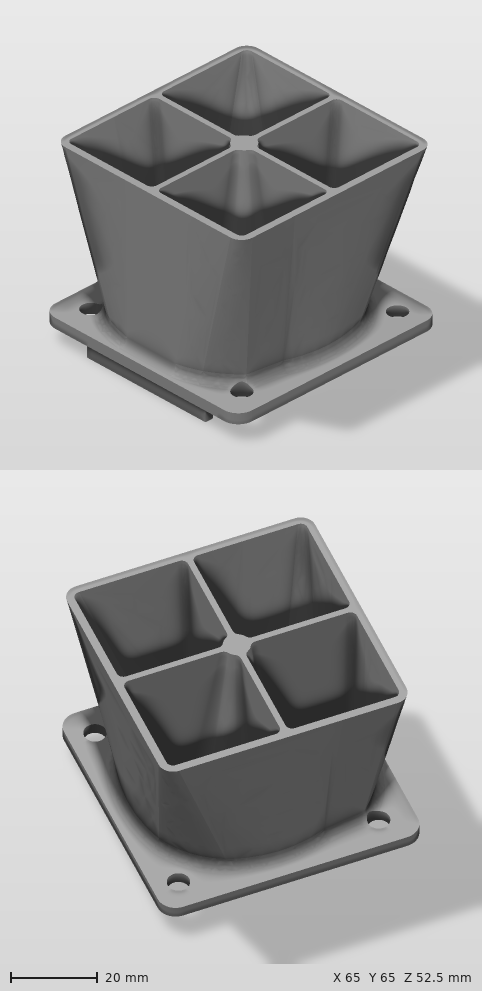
import cadquery as cq
import math

FLANGE_SIDE = 65.0
FLANGE_THICKNESS = 3.0
FLANGE_CORNER_RADIUS = 4.5
SCREW_HOLE_DIAMETER = 5.4
SCREW_HOLE_SPACING = 50.0

AXIS_Y = 1.05
MOUTH_Z = 48.5
WALL = 1.95
FOOT_RADIUS = 26.65
LOBE_RADIUS = 31.1
FOOT_FRONT = 30.1
MOUTH_SIDE = 61.9
MOUTH_CORNER_RADIUS = 3.6
BASE_FILLET_RADIUS = 2.3

PANEL_LEFT_X = -7.55
PANEL_RIGHT_MOUTH_X = 13.4

SIDE_START_ANGLE = 25.0
SIDE_END_ANGLE = 43.5
FRONT_CORNER_SPAN_ANGLE = 20.0
BACK_CORNER_SPAN_ANGLE = 40.0
BACK_CORNER_ANGLE = 45.0

SIDE_SPLIT_SHARE = 0.5

BAR_THICKNESS = 1.5
HUB_MOUTH_RADIUS = 3.25
HUB_FOOT_RADIUS = 10.0
HUB_MOUTH_BLEND_RADIUS = 1.6
HUB_FOOT_BLEND_RADIUS = 4.55
CHANNEL_FILLET_RADIUS = 1.6

TOLERANCE = 0.0005

STRIP_LEFT_X = -18.5
STRIP_LENGTH = 39.2
STRIP_FRONT_Y = -31.45
STRIP_BACK_Y = -28.3
STRIP_TIP_BACK_Y = -29.05
STRIP_STEP_DEPTH = 2.35
STRIP_DEPTH = 4.0


def polar(radius, angle):
    """Point in the XY plane at an angle in degrees from +X."""
    return (radius * math.cos(math.radians(angle)), radius * math.sin(math.radians(angle)))


def line_edge(start, end, z):
    return cq.Edge.makeLine(cq.Vector(*start, z), cq.Vector(*end, z))


def arc_edge(radius, start_angle, end_angle, z, centre=(0.0, 0.0)):
    """Arc about a centre, from one angle to the other, in degrees."""
    points = []
    for angle in (start_angle, (start_angle + end_angle) / 2, end_angle):
        x, y = polar(radius, angle)
        points.append(cq.Vector(centre[0] + x, centre[1] + y, z))
    return cq.Edge.makeThreePointArc(*points)


def foot_wire(inset):
    """Foot outline: round at the back, wider lobes and a flat at the front."""
    round_radius = FOOT_RADIUS - inset
    lobe_radius = LOBE_RADIUS - inset
    front = FOOT_FRONT - inset
    flat_angle = math.degrees(math.asin(front / lobe_radius))
    split_angle = SIDE_END_ANGLE + FRONT_CORNER_SPAN_ANGLE
    back_start = BACK_CORNER_ANGLE - BACK_CORNER_SPAN_ANGLE / 2
    back_end = BACK_CORNER_ANGLE + BACK_CORNER_SPAN_ANGLE / 2
    edges = [
        line_edge(polar(lobe_radius, flat_angle - 180), polar(lobe_radius, -flat_angle), 0),
        arc_edge(lobe_radius, -flat_angle, -split_angle, 0),
        arc_edge(lobe_radius, -split_angle, -SIDE_END_ANGLE, 0),
        line_edge(polar(lobe_radius, -SIDE_END_ANGLE), polar(round_radius, -SIDE_START_ANGLE), 0),
        arc_edge(round_radius, -SIDE_START_ANGLE, back_start, 0),
        arc_edge(round_radius, back_start, back_end, 0),
        arc_edge(round_radius, back_end, 180 - back_end, 0),
        arc_edge(round_radius, 180 - back_end, 180 - back_start, 0),
        arc_edge(round_radius, 180 - back_start, 180 + SIDE_START_ANGLE, 0),
        line_edge(
            polar(round_radius, 180 + SIDE_START_ANGLE), polar(lobe_radius, 180 + SIDE_END_ANGLE), 0
        ),
        arc_edge(lobe_radius, 180 + SIDE_END_ANGLE, 180 + split_angle, 0),
        arc_edge(lobe_radius, 180 + split_angle, 180 + flat_angle, 0),
    ]
    return cq.Wire.assembleEdges(edges)


def mouth_wire(inset):
    """Mouth outline: a rounded square with as many edges as the foot outline."""
    half = MOUTH_SIDE / 2 - inset
    radius = MOUTH_CORNER_RADIUS - inset
    straight = half - radius
    side_split_y = -straight * SIDE_SPLIT_SHARE
    z = MOUTH_Z
    edges = [
        line_edge((PANEL_LEFT_X, -half), (PANEL_RIGHT_MOUTH_X, -half), z),
        line_edge((PANEL_RIGHT_MOUTH_X, -half), (straight, -half), z),
        arc_edge(radius, -90, 0, z, (straight, -straight)),
        line_edge((half, -straight), (half, side_split_y), z),
        line_edge((half, side_split_y), (half, straight), z),
        arc_edge(radius, 0, 90, z, (straight, straight)),
        line_edge((straight, half), (-straight, half), z),
        arc_edge(radius, 90, 180, z, (-straight, straight)),
        line_edge((-half, straight), (-half, side_split_y), z),
        line_edge((-half, side_split_y), (-half, -straight), z),
        arc_edge(radius, 180, 270, z, (-straight, -straight)),
        line_edge((-straight, -half), (PANEL_LEFT_X, -half), z),
    ]
    return cq.Wire.assembleEdges(edges)


def duct_envelope(inset):
    """Solid between the foot and mouth outlines, moved in from the outer surface by inset."""
    loft = cq.Solid.makeLoft([foot_wire(inset), mouth_wire(inset)], True)
    return cq.Workplane(obj=loft.translate(cq.Vector(0, AXIS_Y, 0)))


def flange():
    return (
        cq.Workplane("XY")
        .rect(FLANGE_SIDE, FLANGE_SIDE)
        .extrude(FLANGE_THICKNESS)
        .edges("|Z")
        .fillet(FLANGE_CORNER_RADIUS)
    )


def screw_holes():
    return (
        cq.Workplane("XY")
        .center(0, AXIS_Y)
        .rect(SCREW_HOLE_SPACING, SCREW_HOLE_SPACING, forConstruction=True)
        .vertices()
        .circle(SCREW_HOLE_DIAMETER / 2)
        .extrude(FLANGE_THICKNESS + BASE_FILLET_RADIUS)
    )


def hub_wire(hub_radius, blend_radius, z):
    """Hub outline: a circle that flares into the four bars through concave arcs."""
    half_bar = BAR_THICKNESS / 2
    centre_side = half_bar + blend_radius
    centre_reach = math.sqrt((hub_radius + blend_radius) ** 2 - centre_side**2)
    contact_angle = math.degrees(math.atan2(centre_side, centre_reach))
    edges = []
    for quarter in range(4):
        turn = 90.0 * quarter
        direction = math.radians(turn)
        side_x, side_y = -math.sin(direction), math.cos(direction)
        along_x, along_y = math.cos(direction), math.sin(direction)
        tip_x, tip_y = centre_reach * along_x, centre_reach * along_y
        right_end = (tip_x - half_bar * side_x, tip_y - half_bar * side_y)
        left_end = (tip_x + half_bar * side_x, tip_y + half_bar * side_y)
        right_centre = (tip_x - centre_side * side_x, tip_y - centre_side * side_y)
        left_centre = (tip_x + centre_side * side_x, tip_y + centre_side * side_y)
        edges += [
            arc_edge(blend_radius, turn + 180 - contact_angle, turn + 90, z, right_centre),
            line_edge(right_end, left_end, z),
            arc_edge(blend_radius, turn + 270, turn + 180 + contact_angle, z, left_centre),
            arc_edge(hub_radius, turn + contact_angle, turn + 90 - contact_angle, z),
        ]
    return cq.Wire.assembleEdges(edges)


def build_hub():
    """Tapering hub with its flares, cut away from every air channel."""
    foot = hub_wire(HUB_FOOT_RADIUS, HUB_FOOT_BLEND_RADIUS, 0)
    mouth = hub_wire(HUB_MOUTH_RADIUS, HUB_MOUTH_BLEND_RADIUS, MOUTH_Z)
    loft = cq.Solid.makeLoft([foot, mouth], True)
    return cq.Workplane(obj=loft.translate(cq.Vector(0, AXIS_Y, 0)))


def meets_outer_wall(edge):
    """True for an edge that rises where a divider bar meets the outer wall."""
    start, end = edge.startPoint(), edge.endPoint()
    rises = abs(start.z - end.z) > MOUTH_Z / 2
    half = BAR_THICKNESS / 2
    on_x_bar = all(abs(abs(p.y - AXIS_Y) - half) < TOLERANCE for p in (start, end))
    on_y_bar = all(abs(abs(p.x) - half) < TOLERANCE for p in (start, end))
    return rises and on_x_bar != on_y_bar


def air_channel(cavity, hub, side_x, side_y):
    """One of the four passages between the bars, with its bar corners rounded."""
    offset = BAR_THICKNESS / 2 + FLANGE_SIDE / 2
    quadrant = (
        cq.Workplane("XY")
        .box(FLANGE_SIDE, FLANGE_SIDE, MOUTH_Z, centered=(True, True, False))
        .translate((side_x * offset, AXIS_Y + side_y * offset, 0))
    )
    channel = cavity.intersect(quadrant)
    corners = [edge for edge in channel.edges().vals() if meets_outer_wall(edge)]
    return channel.newObject(corners).fillet(CHANNEL_FILLET_RADIUS).cut(hub)


def build_duct():
    body = flange().union(duct_envelope(0))
    foot_edges = [
        edge
        for edge in body.edges().vals()
        if edge.geomType() == "BSPLINE"
        and abs(edge.startPoint().z - FLANGE_THICKNESS) < TOLERANCE
        and abs(edge.endPoint().z - FLANGE_THICKNESS) < TOLERANCE
    ]
    body = body.newObject(foot_edges).fillet(BASE_FILLET_RADIUS)
    cavity = duct_envelope(WALL)
    hub = build_hub()
    for side_x in (-1, 1):
        for side_y in (-1, 1):
            body = body.cut(air_channel(cavity, hub, side_x, side_y))
    return body.cut(screw_holes())


def build_strip():
    return (
        cq.Workplane("YZ", origin=(STRIP_LEFT_X, 0, 0))
        .moveTo(STRIP_FRONT_Y, 0)
        .lineTo(STRIP_BACK_Y, 0)
        .lineTo(STRIP_BACK_Y, -STRIP_STEP_DEPTH)
        .lineTo(STRIP_TIP_BACK_Y, -STRIP_STEP_DEPTH)
        .lineTo(STRIP_TIP_BACK_Y, -STRIP_DEPTH)
        .lineTo(STRIP_FRONT_Y, -STRIP_DEPTH)
        .close()
        .extrude(STRIP_LENGTH)
    )


duct = build_duct()
strip = build_strip()

result = cq.Compound.makeCompound([duct.val(), strip.val()])